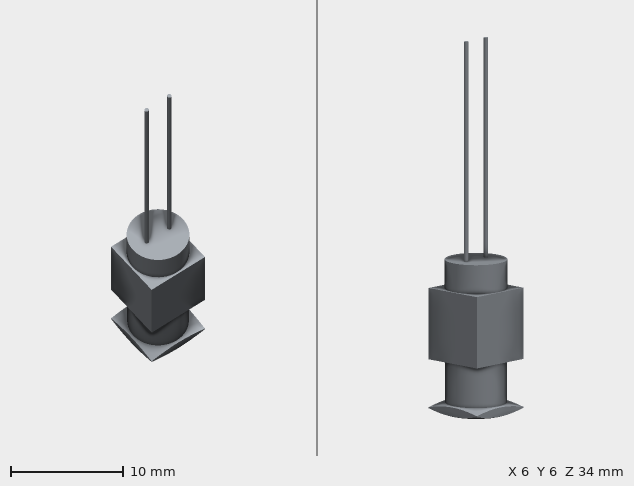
import cadquery as cq
import math

total_height = 34.0
square_side = 6.0

block_bottom = 4.9
block_height = 6.5
block_top = block_bottom + block_height
cap_top = 14.0

stem_diameter = 5.5
cap_diameter = 5.6
pin_diameter = 0.4
pin_spacing = 2.55

flange_height = 1.0
flange_edge_thickness = 0.1
flange_corner_radius = square_side / math.sqrt(2)


def cylinder(diameter, bottom, top):
    return cq.Workplane("XY").workplane(offset=bottom).circle(diameter / 2).extrude(top - bottom)


def square_block(bottom, height):
    return cq.Workplane("XY").workplane(offset=bottom).rect(square_side, square_side).extrude(height)


def make_flange():
    """Double-coned disc trimmed to a square, leaving arched side faces."""
    inner_radius = stem_diameter / 2
    edge_bottom = (flange_height - flange_edge_thickness) / 2
    edge_top = edge_bottom + flange_edge_thickness
    disc = (
        cq.Workplane("XZ")
        .moveTo(0, 0)
        .lineTo(inner_radius, 0)
        .lineTo(flange_corner_radius, edge_bottom)
        .lineTo(flange_corner_radius, edge_top)
        .lineTo(inner_radius, flange_height)
        .lineTo(0, flange_height)
        .close()
        .revolve(360, (0, 0, 0), (0, 1, 0))
    )
    return disc.intersect(square_block(0, flange_height))


def make_pins():
    return (
        cq.Workplane("XY")
        .workplane(offset=block_top)
        .pushPoints([(0, -pin_spacing / 2), (0, pin_spacing / 2)])
        .circle(pin_diameter / 2)
        .extrude(total_height - block_top)
    )


stem = cylinder(stem_diameter, 0, block_bottom)
block = square_block(block_bottom, block_height)
cap = cylinder(cap_diameter, block_top, cap_top)

result = make_flange().union(stem).union(block).union(cap).union(make_pins())